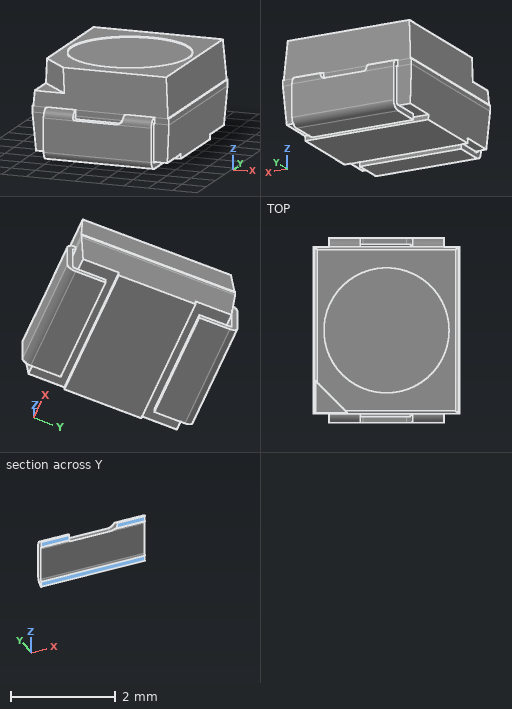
import cadquery as cq
import math

total_height = 1.82
lead_span = 3.55

draft_angle = 4.0
belt_length_x = 2.8
belt_width_y = 3.2
belt_bottom = 0.9
belt_top = 1.02
belt_ledge_x = 0.02
body_bottom = 0.02
foot_half_width_y = 0.8

recess_radius = 1.2
recess_depth = 0.02

corner_cut_leg = 0.65
corner_cut_depth = 0.5

lead_width = 2.21
lead_thickness = belt_top - belt_bottom
lead_inner_radius = 0.05
lead_outer_radius = lead_inner_radius + lead_thickness
lead_foot_length = 0.8

notch_width = 1.01
notch_floor = belt_top - lead_outer_radius
notch_left_radius = 0.05
notch_right_radius = 0.13

half_belt_y = belt_width_y / 2
half_span = lead_span / 2


def box_between(x_range, y_range, z_range):
    """Axis-aligned box given by its limits along X, Y and Z."""
    lengths = [high - low for low, high in (x_range, y_range, z_range)]
    corner = (x_range[0], y_range[0], z_range[0])
    return cq.Workplane("XY").box(*lengths, centered=False).translate(corner)


def make_body():
    """Belt with a tapered upper half, a tapered lower half and a raised-end underside."""
    belt = (
        cq.Workplane("XY")
        .workplane(offset=belt_bottom)
        .rect(belt_length_x, belt_width_y)
        .extrude(belt_top - belt_bottom)
    )
    upper = (
        cq.Workplane("XY")
        .workplane(offset=belt_top)
        .rect(belt_length_x - 2 * belt_ledge_x, belt_width_y)
        .extrude(total_height - belt_top, taper=draft_angle)
    )
    lower = (
        cq.Workplane("XY")
        .workplane(offset=belt_bottom)
        .rect(belt_length_x, belt_width_y)
        .extrude(body_bottom - belt_bottom, taper=draft_angle)
    )
    body = belt.union(upper).union(lower)

    for end_range in ((-half_belt_y, -foot_half_width_y), (foot_half_width_y, half_belt_y)):
        end_relief = box_between(
            (-belt_length_x / 2, belt_length_x / 2),
            end_range,
            (0, lead_thickness),
        )
        body = body.cut(end_relief)
    return body


def make_recess():
    """Shallow round pocket cutter in the top face."""
    return (
        cq.Workplane("XY")
        .workplane(offset=total_height - recess_depth)
        .circle(recess_radius)
        .extrude(recess_depth)
    )


def make_corner_cut():
    """Triangular prism cutter at the -X, -Y top corner."""
    corner_x = -belt_length_x / 2 + belt_ledge_x
    corner_y = -half_belt_y
    return (
        cq.Workplane("XY")
        .workplane(offset=total_height - corner_cut_depth)
        .moveTo(corner_x, corner_y)
        .lineTo(corner_x + corner_cut_leg, corner_y)
        .lineTo(corner_x, corner_y + corner_cut_leg)
        .close()
        .extrude(corner_cut_depth)
    )


def make_lead_strip():
    """C-shaped strip on the -Y side, from the belt down and back under the body."""
    outer_y = -half_span
    inner_y = outer_y + lead_thickness
    outer_bend_y = outer_y + lead_outer_radius
    foot_end_y = outer_y + lead_foot_length
    upper_bend_z = belt_top - lead_outer_radius
    lower_bend_z = lead_outer_radius
    diagonal = math.sqrt(0.5)
    outer_mid = lead_outer_radius * diagonal
    inner_mid = lead_inner_radius * diagonal
    return (
        cq.Workplane("YZ")
        .moveTo(-half_belt_y, belt_top)
        .lineTo(outer_bend_y, belt_top)
        .threePointArc((outer_bend_y - outer_mid, upper_bend_z + outer_mid), (outer_y, upper_bend_z))
        .lineTo(outer_y, lower_bend_z)
        .threePointArc((outer_bend_y - outer_mid, lower_bend_z - outer_mid), (outer_bend_y, 0))
        .lineTo(foot_end_y, 0)
        .lineTo(foot_end_y, lead_thickness)
        .lineTo(outer_bend_y, lead_thickness)
        .threePointArc((outer_bend_y - inner_mid, lower_bend_z - inner_mid), (inner_y, lower_bend_z))
        .lineTo(inner_y, upper_bend_z)
        .threePointArc((outer_bend_y - inner_mid, upper_bend_z + inner_mid), (outer_bend_y, belt_bottom))
        .lineTo(-half_belt_y, belt_bottom)
        .close()
        .extrude(lead_width / 2, both=True)
    )


def make_lead_notch():
    """Notch cutter through the upper bend, with a differently rounded lower corner at each end."""
    notch = box_between(
        (-notch_width / 2, notch_width / 2),
        (-half_span, -half_belt_y),
        (notch_floor, belt_top),
    )
    notch = notch.edges("|Y and <Z").edges("<X").fillet(notch_left_radius)
    return notch.edges("|Y and >X").edges("<Z").fillet(notch_right_radius)


body = make_body().cut(make_recess()).cut(make_corner_cut())
front_lead = make_lead_strip().cut(make_lead_notch())
back_lead = front_lead.mirror("XZ")

result = body.union(front_lead).union(back_lead)